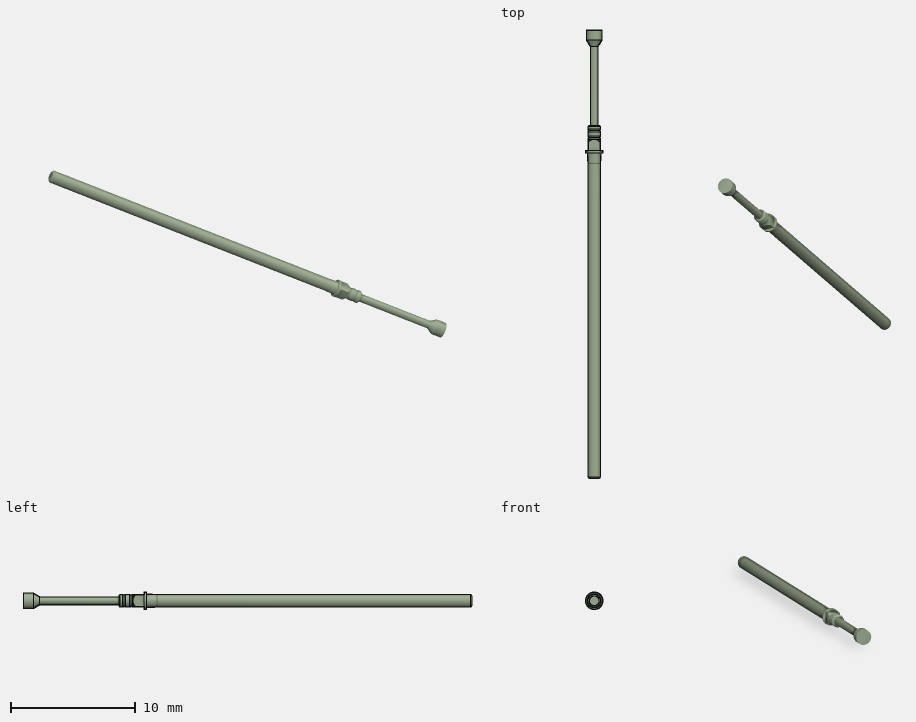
import cadquery as cq

LENGTH = 35.9
HEAD_END = LENGTH / 2

HEAD_LENGTH = 0.8
NECK_END = 1.3
COLLAR_START = 7.63
GROOVE_STARTS = (7.93, 8.49)
SQUARE_START = 8.77
FLANGE_START = 9.65
SLEEVE_END = 10.7

HEAD_DIAMETER = 1.25
STEM_DIAMETER = 0.64
TUBE_DIAMETER = 1.02
SLEEVE_DIAMETER = 1.12
FLANGE_DIAMETER = 1.4
GROOVE_DIAMETER = 0.9

COLLAR_CHAMFER = 0.1
GROOVE_WIDTH = 0.24
FLANGE_THICKNESS = 0.2
SQUARE_SIDE = 0.97
SQUARE_LEAD_LENGTH = 0.2
TUBE_END_CHAMFER = 0.12


def station(distance):
    """Y position at a given distance behind the contact face."""
    return HEAD_END - distance


def cone(start, end, start_diameter, end_diameter):
    """Round section between two distances behind the contact face, coaxial with Y."""
    profile = [
        (0, station(start)),
        (start_diameter / 2, station(start)),
        (end_diameter / 2, station(end)),
        (0, station(end)),
    ]
    return cq.Workplane("XY").polyline(profile).close().revolve(360, (0, 0), (0, 1))


def cylinder(start, end, diameter):
    return cone(start, end, diameter, diameter)


def make_plunger():
    head = cylinder(0, HEAD_LENGTH, HEAD_DIAMETER)
    neck = cone(HEAD_LENGTH, NECK_END, HEAD_DIAMETER, STEM_DIAMETER)
    stem = cylinder(NECK_END, SQUARE_START, STEM_DIAMETER)
    return head.union(neck).union(stem)


def make_v_ring(start):
    """Ring of V section, pointing inward, that cuts one groove around the collar."""
    middle = start + GROOVE_WIDTH / 2
    end = start + GROOVE_WIDTH
    profile = [
        (TUBE_DIAMETER / 2, station(start)),
        (GROOVE_DIAMETER / 2, station(middle)),
        (TUBE_DIAMETER / 2, station(end)),
    ]
    return cq.Workplane("XY").polyline(profile).close().revolve(360, (0, 0), (0, 1))


def make_collar():
    collar = cylinder(COLLAR_START, SQUARE_START, TUBE_DIAMETER).faces(">Y").chamfer(COLLAR_CHAMFER)
    for start in GROOVE_STARTS:
        collar = collar.cut(make_v_ring(start))
    return collar


def make_square_shank():
    """Square shank whose corners are coned down where it meets the round collar."""
    length = FLANGE_START - SQUARE_START
    middle = station(SQUARE_START + length / 2)
    square = cq.Workplane("XY").box(SQUARE_SIDE, length, SQUARE_SIDE).translate((0, middle, 0))
    lead_end = SQUARE_START + SQUARE_LEAD_LENGTH
    envelope = cone(SQUARE_START, lead_end, TUBE_DIAMETER, FLANGE_DIAMETER)
    envelope = envelope.union(cylinder(lead_end, FLANGE_START, FLANGE_DIAMETER))
    return square.intersect(envelope)


def make_flange():
    return cylinder(FLANGE_START, FLANGE_START + FLANGE_THICKNESS, FLANGE_DIAMETER)


def make_tube():
    """Plain tube led into from the flange by a slightly tapered sleeve."""
    sleeve = cone(FLANGE_START, SLEEVE_END, SLEEVE_DIAMETER, TUBE_DIAMETER)
    tube = cylinder(SLEEVE_END, LENGTH, TUBE_DIAMETER).faces("<Y").chamfer(TUBE_END_CHAMFER)
    return sleeve.union(tube)


result = make_plunger()
for section in (make_collar(), make_square_shank(), make_flange(), make_tube()):
    result = result.union(section)